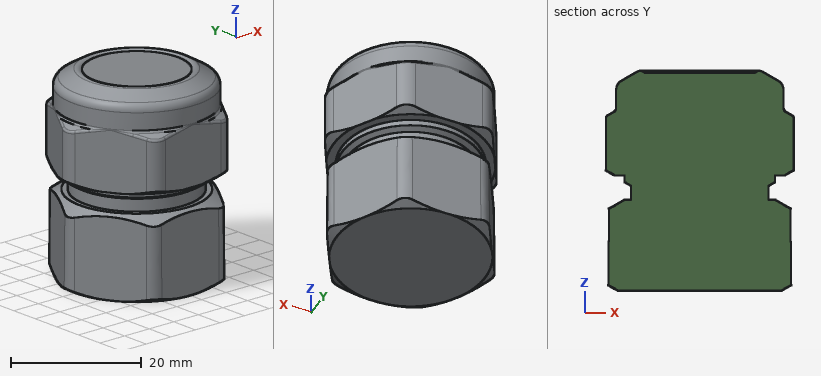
import cadquery as cq
import math

total_height = 33.69
body_hex_height = 13.98
neck_top = 16.06
nut_bottom = 17.63
cap_bottom = 27.9

cone_angle = 30
cone_slope = math.tan(math.radians(cone_angle))
cone_normal_angle = 90 - cone_angle

hexagon_sides = 6
half_side_angle = math.pi / hexagon_sides

body_flats = 24.95
body_corner_radius = 2.4
body_draft_angle = 0.5
body_bottom_face_radius = 12.5
body_top_face_radius = 11.55

neck_radius = 10.57
collar_radius = 11.53

nut_flats = 25.72
nut_corner_radius = 2.92
nut_turn_angle = 0.9
nut_bottom_face_radius = 13.0
nut_edge_fillet = 0.5

cap_radius = 12.84
cap_root_fillet = 0.5
cap_shoulder_radius = 1.6
rim_round_radius = 1.0
cap_recess_radius = 8.41
cap_recess_depth = 0.3


def hexagon_prism(across_flats, corner_radius, bottom, top, draft_angle=0):
    """Hexagonal prism with rounded corners, two of them on the X axis; drafted sides narrow upwards."""
    across_corners = across_flats / math.cos(half_side_angle)
    outline = cq.Sketch().regularPolygon(across_corners / 2, hexagon_sides).vertices().fillet(corner_radius)
    prism = cq.Workplane("XY", origin=(0, 0, bottom)).placeSketch(outline)
    prism = prism.extrude(top - bottom, taper=draft_angle)
    return prism.rotate((0, 0, 0), (0, 0, 1), math.degrees(half_side_angle))


def revolve_profile(profile):
    """Turn a closed outline drawn as (radius, height) about the Z axis."""
    return profile.close().revolve(360, (0, 0, 0), (0, 1, 0))


def point_on_arc(center, radius, angle):
    """Point at an angle in degrees, counted from the radial direction towards +Z."""
    turn = math.radians(angle)
    return (center[0] + radius * math.cos(turn), center[1] + radius * math.sin(turn))


def cone_meeting_point(bottom_radius, bottom, top_radius, top):
    """Point where a chamfer cone rising outwards meets one falling outwards."""
    radius = ((top - bottom) / cone_slope + bottom_radius + top_radius) / 2
    return (radius, bottom + (radius - bottom_radius) * cone_slope)


def make_body():
    hexagon = hexagon_prism(body_flats, body_corner_radius, 0, body_hex_height, body_draft_angle)
    chamfer_meeting = cone_meeting_point(
        body_bottom_face_radius, 0, body_top_face_radius, body_hex_height
    )
    chamfer_envelope = revolve_profile(
        cq.Workplane("XZ")
        .lineTo(body_bottom_face_radius, 0)
        .lineTo(*chamfer_meeting)
        .lineTo(body_top_face_radius, body_hex_height)
        .lineTo(0, body_hex_height)
    )
    return hexagon.intersect(chamfer_envelope)


def make_neck():
    collar_bottom = neck_top + (collar_radius - neck_radius) * cone_slope
    return revolve_profile(
        cq.Workplane("XZ")
        .moveTo(0, body_hex_height)
        .lineTo(neck_radius, body_hex_height)
        .lineTo(neck_radius, neck_top)
        .lineTo(collar_radius, collar_bottom)
        .lineTo(collar_radius, nut_bottom)
        .lineTo(0, nut_bottom)
    )


def make_nut():
    """Hexagon trimmed by a turned outline that carries the chamfers and root fillet."""
    root_center = (cap_radius + cap_root_fillet, cap_bottom)
    root_middle = point_on_arc(root_center, cap_root_fillet, 180 + cone_normal_angle / 2)
    root_end = point_on_arc(root_center, cap_root_fillet, 180 + cone_normal_angle)
    envelope = revolve_profile(
        cq.Workplane("XZ")
        .moveTo(0, nut_bottom)
        .lineTo(nut_bottom_face_radius, nut_bottom)
        .lineTo(*cone_meeting_point(nut_bottom_face_radius, nut_bottom, *root_end))
        .lineTo(*root_end)
        .threePointArc(root_middle, (cap_radius, cap_bottom))
        .lineTo(0, cap_bottom)
    )
    hexagon = hexagon_prism(nut_flats, nut_corner_radius, nut_bottom, cap_bottom)
    nut = hexagon.intersect(envelope)
    middle_height = (nut_bottom + cap_bottom) / 2
    curved_edges = nut.edges("not (%LINE or %CIRCLE)").vals()
    upper_edges = [edge for edge in curved_edges if edge.Center().z > middle_height]
    nut = nut.newObject(upper_edges).fillet(nut_edge_fillet)
    return nut.rotate((0, 0, 0), (0, 0, 1), nut_turn_angle)


def make_cap():
    """Round cap with a conical top, a rounded rim and a shallow flat recess."""
    recess_floor = total_height - cap_recess_depth
    crest_angle = 90
    rim_end_angle = crest_angle + math.degrees(math.acos(1 - cap_recess_depth / rim_round_radius))
    rim_center_radius = cap_recess_radius - rim_round_radius * math.cos(math.radians(rim_end_angle))
    rim_center = (rim_center_radius, total_height - rim_round_radius)
    rim_crest = point_on_arc(rim_center, rim_round_radius, crest_angle)
    rim_outer = point_on_arc(rim_center, rim_round_radius, cone_normal_angle)
    shoulder_center_radius = cap_radius - cap_shoulder_radius
    cone_end_radius = point_on_arc((shoulder_center_radius, 0), cap_shoulder_radius, cone_normal_angle)[0]
    cone_end = (cone_end_radius, rim_outer[1] - (cone_end_radius - rim_outer[0]) * cone_slope)
    shoulder_center = (
        shoulder_center_radius,
        cone_end[1] - cap_shoulder_radius * math.sin(math.radians(cone_normal_angle)),
    )
    return revolve_profile(
        cq.Workplane("XZ")
        .moveTo(0, cap_bottom)
        .lineTo(cap_radius, cap_bottom)
        .lineTo(cap_radius, shoulder_center[1])
        .threePointArc(point_on_arc(shoulder_center, cap_shoulder_radius, cone_normal_angle / 2), cone_end)
        .lineTo(*rim_outer)
        .threePointArc(rim_crest, (cap_recess_radius, recess_floor))
        .lineTo(0, recess_floor)
    )


result = make_body().union(make_neck()).union(make_nut()).union(make_cap())